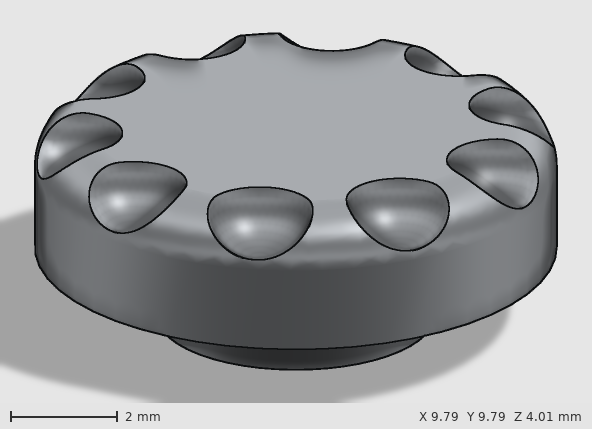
import cadquery as cq

cap_diameter = 9.79
rim_radius = 1.0
cap_side_height = 1.61
stem_diameter = 5.2
stem_height = 1.4
dimple_count = 10
dimple_radius = 1.0
dimple_circle_radius = 4.3

cap_height = cap_side_height + rim_radius
top_z = stem_height + cap_height


def make_stem():
    return cq.Workplane("XY").circle(stem_diameter / 2).extrude(stem_height)


def make_cap():
    cap = cq.Workplane("XY").workplane(offset=stem_height).circle(cap_diameter / 2).extrude(cap_height)
    return cap.faces(">Z").edges().fillet(rim_radius)


def make_dimples():
    """Balls centred on the top plane, evenly spaced around the rim, starting on +X."""
    return (
        cq.Workplane("XY")
        .workplane(offset=top_z)
        .polarArray(dimple_circle_radius, 0, 360, dimple_count)
        .sphere(dimple_radius)
    )


result = make_stem().union(make_cap()).cut(make_dimples())